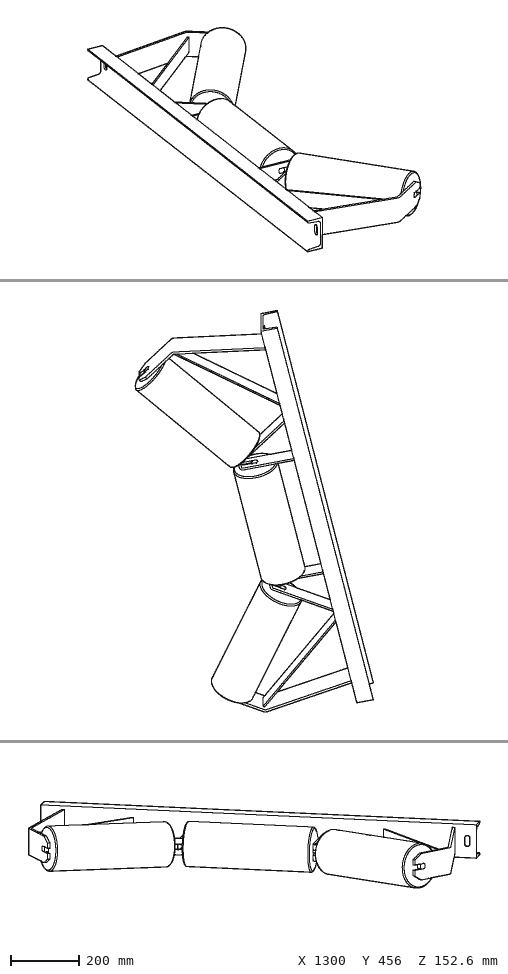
import cadquery as cq
import math


BEAM_LENGTH = 1300.0
BEAM_HEIGHT = 100.0
FLANGE_DEPTH = 50.0
WEB_THICKNESS = 6.0
FLANGE_ROOT_THICKNESS = 10.0
FLANGE_TIP_THICKNESS = 6.0
FLANGE_ROOT_RADIUS = 8.5
FLANGE_TIP_RADIUS = 4.5
BEAM_SLOT_WIDTH = 15.0
BEAM_SLOT_HEIGHT = 32.0
BEAM_SLOT_END_DISTANCE = 27.0

ROLLER_LENGTH = 380.0
ROLLER_DIAMETER = 133.0
ROLLER_CHAMFER = 4.0
SHAFT_DIAMETER = 20.0
SHAFT_FLAT_WIDTH = 15.0
CENTRE_ROLLER_Y = 118.0
WING_ROLLER_X = 400.0
WING_ROLLER_Y = 245.0
TROUGH_ANGLE = 35.0
TILT_ANGLE = 3.0
ROLLER_GAP = 5.0

OUTER_HEIGHT = 79.0
OUTER_THICKNESS = 8.0
OUTER_BEND_Y = 269.0
OUTER_FOOT_X = -586.0
OUTER_ARM_LENGTH = 143.0
OUTER_BEND_RADIUS = 8.0
TIP_CHAMFER_LENGTH = 26.0
TIP_CHAMFER_HEIGHT = 15.0
INNER_THICKNESS = 6.0
INNER_HEIGHT = 50.0
INNER_TOP_Y = 162.0
INNER_BEND_RADIUS = 4.0
BRACE_THICKNESS = 5.0
BRACE_HEIGHT = 50.0
BRACE_FOOT_X = -380.0

TROUGH = math.radians(TROUGH_ANGLE)
TILT = math.radians(TILT_ANGLE)
WING_OUTWARD = cq.Vector(-math.cos(TROUGH), math.sin(TROUGH), 0)
ARM_DIRECTION = cq.Vector(math.sin(TROUGH), math.cos(TROUGH), 0)
WING_AXIS = WING_OUTWARD * math.cos(TILT) + cq.Vector(0, 0, math.sin(TILT))
INNER_END_Z = -ROLLER_LENGTH * math.sin(TILT)
WING_CENTRE = cq.Vector(-WING_ROLLER_X, WING_ROLLER_Y, INNER_END_Z / 2)
WING_OUTER_END = WING_CENTRE + WING_AXIS * (ROLLER_LENGTH / 2)
WING_INNER_END = WING_CENTRE - WING_AXIS * (ROLLER_LENGTH / 2)

WING_PLANE = cq.Plane(WING_CENTRE, xDir=ARM_DIRECTION.cross(WING_AXIS), normal=WING_AXIS)
CENTRE_PLANE = cq.Plane((0, CENTRE_ROLLER_Y, INNER_END_Z), xDir=(0, 0, 1), normal=(-1, 0, 0))
INNER_REACH = ROLLER_LENGTH / 2 + ROLLER_GAP + INNER_THICKNESS
OUTER_REACH = ROLLER_LENGTH / 2 + ROLLER_GAP + OUTER_THICKNESS


def mirrored(shape):
    """The same shape on the other end of the beam."""
    return shape.mirror("YZ")


def point_on_line(point, direction, y):
    """The XY point at height y on a line through a point."""
    step = (y - point.y) / direction.y
    return (point.x + direction.x * step, y)



def beam_edges_at(y):
    """Selector for the edges along the beam at a distance y, inside its outer corners."""
    margin = FLANGE_TIP_THICKNESS / 2
    inside_z = BEAM_HEIGHT / 2 - margin
    return cq.selectors.BoxSelector(
        (-BEAM_LENGTH, y - margin, -inside_z),
        (BEAM_LENGTH, y + margin, inside_z),
    )


def beam():
    """A channel with tapered flanges and an upright slot in the web near each end."""
    upper_flange = [
        (0, BEAM_HEIGHT / 2),
        (-FLANGE_DEPTH, BEAM_HEIGHT / 2),
        (-FLANGE_DEPTH, BEAM_HEIGHT / 2 - FLANGE_TIP_THICKNESS),
        (-WEB_THICKNESS, BEAM_HEIGHT / 2 - FLANGE_ROOT_THICKNESS),
    ]
    lower_flange = [(y, -z) for y, z in reversed(upper_flange)]
    outline = upper_flange + lower_flange
    channel = cq.Workplane("YZ").polyline(outline).close().extrude(BEAM_LENGTH / 2, both=True)
    channel = channel.edges("|X").edges(beam_edges_at(-WEB_THICKNESS)).fillet(FLANGE_ROOT_RADIUS)
    channel = channel.edges("|X").edges(beam_edges_at(-FLANGE_DEPTH)).fillet(FLANGE_TIP_RADIUS)
    slot_x = BEAM_LENGTH / 2 - BEAM_SLOT_END_DISTANCE
    slots = (
        cq.Workplane("XZ")
        .pushPoints([(-slot_x, 0), (slot_x, 0)])
        .slot2D(BEAM_SLOT_HEIGHT, BEAM_SLOT_WIDTH, 90)
        .extrude(WEB_THICKNESS)
    )
    return channel.cut(slots)


def right_hand_offset(points, distance):
    """The corners of a path moved sideways to its right, mitred at the bends."""
    runs = [(end - start).normalized() for start, end in zip(points, points[1:])]
    moved = []
    for point, before, after in zip(points, runs[:1] + runs, runs + runs[-1:]):
        right = cq.Vector(before.y + after.y, -before.x - after.x, 0)
        moved.append(point + right * (2 * distance / right.Length ** 2))
    return moved


def bent_plate(path, thickness, height, inside_radius=0):
    """A plate standing along Z: one face follows an XY path, the thickness lies to its right.

    Every bend of the path turns right.
    """
    outer_points = [cq.Vector(x, y, 0) for x, y in path]
    inner_points = right_hand_offset(outer_points, thickness)
    outline = [(point.x, point.y) for point in outer_points + inner_points[::-1]]
    plate = cq.Workplane("XY").polyline(outline).close().extrude(height / 2, both=True)
    for outer, inner in zip(outer_points[1:-1], inner_points[1:-1]):
        inner_edge = cq.selectors.NearestToPointSelector(inner.toTuple())
        plate = plate.edges(inner_edge).fillet(inside_radius)
        outer_edge = cq.selectors.NearestToPointSelector(outer.toTuple())
        plate = plate.edges(outer_edge).fillet(inside_radius + thickness)
    return plate


def shaft_slot(plane, start, end):
    """Cutter for a slot that seats a shaft end and opens along the plane's local Y."""
    open_length = ROLLER_DIAMETER
    channel = (
        cq.Workplane(plane)
        .center(0, open_length / 2)
        .rect(SHAFT_FLAT_WIDTH, open_length)
        .extrude(end - start)
        .translate(plane.zDir * start)
    )
    return channel.union(shaft_end(plane, start, end))


def sunk_foot(foot_x, top):
    """Start of a leg that crosses the web back at foot_x, set deep enough to be trimmed flush there."""
    foot = cq.Vector(foot_x, 0, 0)
    return point_on_line(foot, cq.Vector(*top) - foot, -WEB_THICKNESS)


def tip_corners(tip):
    """Cutter for the two corners at the free end of the outer bracket arm."""
    arm_plane = cq.Plane(tip, xDir=ARM_DIRECTION, normal=WING_OUTWARD * -1)
    edge = OUTER_HEIGHT / 2
    corner = (
        cq.Workplane(arm_plane)
        .polyline([(0, edge - TIP_CHAMFER_HEIGHT), (0, edge), (-TIP_CHAMFER_LENGTH, edge)])
        .close()
        .extrude(OUTER_THICKNESS)
    )
    return corner.union(corner.mirror("XY"))


def outer_bracket():
    """The tall bent plate that carries the outer end of a wing roller."""
    face_point = WING_OUTER_END + WING_OUTWARD * (ROLLER_GAP + OUTER_THICKNESS)
    bend = point_on_line(face_point, ARM_DIRECTION, OUTER_BEND_Y)
    tip = cq.Vector(*bend) + ARM_DIRECTION * OUTER_ARM_LENGTH
    path = [sunk_foot(OUTER_FOOT_X, bend), bend, (tip.x, tip.y)]
    plate = bent_plate(path, OUTER_THICKNESS, OUTER_HEIGHT, OUTER_BEND_RADIUS)
    slot = shaft_slot(WING_PLANE, ROLLER_LENGTH / 2, OUTER_REACH + OUTER_THICKNESS)
    return plate.cut(tip_corners(tip)).cut(slot)


def inner_bracket():
    """The plate bent over twice that carries a wing roller and one end of the centre roller."""
    slant_point = WING_INNER_END - WING_OUTWARD * ROLLER_GAP
    leg_x = -(ROLLER_LENGTH / 2 + ROLLER_GAP)
    path = [
        point_on_line(slant_point, ARM_DIRECTION, -WEB_THICKNESS),
        point_on_line(slant_point, ARM_DIRECTION, INNER_TOP_Y),
        (leg_x, INNER_TOP_Y),
        (leg_x, 0),
    ]
    plate = bent_plate(path, INNER_THICKNESS, INNER_HEIGHT, INNER_BEND_RADIUS)
    plate = plate.translate((0, 0, INNER_END_Z))
    slot_end = INNER_REACH + INNER_THICKNESS
    wing_slot = shaft_slot(WING_PLANE, -slot_end, -ROLLER_LENGTH / 2)
    centre_slot = shaft_slot(CENTRE_PLANE, ROLLER_LENGTH / 2, slot_end)
    return plate.cut(wing_slot).cut(centre_slot)


def brace():
    """The thin straight plate from the beam to the inside of the outer bracket's bend."""
    inside_point = WING_OUTER_END + WING_OUTWARD * ROLLER_GAP
    top = point_on_line(inside_point, ARM_DIRECTION, OUTER_BEND_Y)
    return bent_plate([sunk_foot(BRACE_FOOT_X, top), top], BRACE_THICKNESS, BRACE_HEIGHT)


def frame():
    """The beam with a set of brackets and a brace at each end, their feet flush on the web back."""
    supports = outer_bracket().union(inner_bracket()).union(brace())
    beam_space = (
        cq.Workplane("XY")
        .box(BEAM_LENGTH, FLANGE_DEPTH, BEAM_HEIGHT)
        .translate((0, -FLANGE_DEPTH / 2, 0))
    )
    supports = supports.cut(beam_space)
    return beam().union(supports).union(mirrored(supports))



def roller_long_rod(plane, diameter):
    """A cylinder along the roller axis that ends at the roller faces."""
    rod = cq.Workplane(plane).workplane(offset=-ROLLER_LENGTH / 2).circle(diameter / 2)
    return rod.extrude(ROLLER_LENGTH)


def roller(plane):
    """A roller with chamfered rims, bored for its shaft."""
    tube = roller_long_rod(plane, ROLLER_DIAMETER).faces("%PLANE").edges().chamfer(ROLLER_CHAMFER)
    return tube.cut(roller_long_rod(plane, SHAFT_DIAMETER))


def shaft_end(plane, start, end):
    """Shaft length between two distances along the axis, with flats on both sides."""
    rod = cq.Workplane(plane).circle(SHAFT_DIAMETER / 2).extrude(end - start)
    flats = cq.Workplane(plane).rect(SHAFT_FLAT_WIDTH, SHAFT_DIAMETER).extrude(end - start)
    return rod.intersect(flats).translate(plane.zDir * start)


def shaft(plane, back_reach, front_reach):
    """A round shaft inside the roller with flatted ends; the reaches run from the roller centre."""
    rod = roller_long_rod(plane, SHAFT_DIAMETER)
    rod = rod.union(shaft_end(plane, ROLLER_LENGTH / 2, front_reach))
    return rod.union(shaft_end(plane, -back_reach, -ROLLER_LENGTH / 2))


wing_roller = roller(WING_PLANE)
wing_shaft = shaft(WING_PLANE, INNER_REACH, OUTER_REACH)
rollers = [roller(CENTRE_PLANE), wing_roller, mirrored(wing_roller)]
shafts = [shaft(CENTRE_PLANE, INNER_REACH, INNER_REACH), wing_shaft, mirrored(wing_shaft)]

result = cq.Compound.makeCompound([body.val() for body in [frame()] + rollers + shafts])